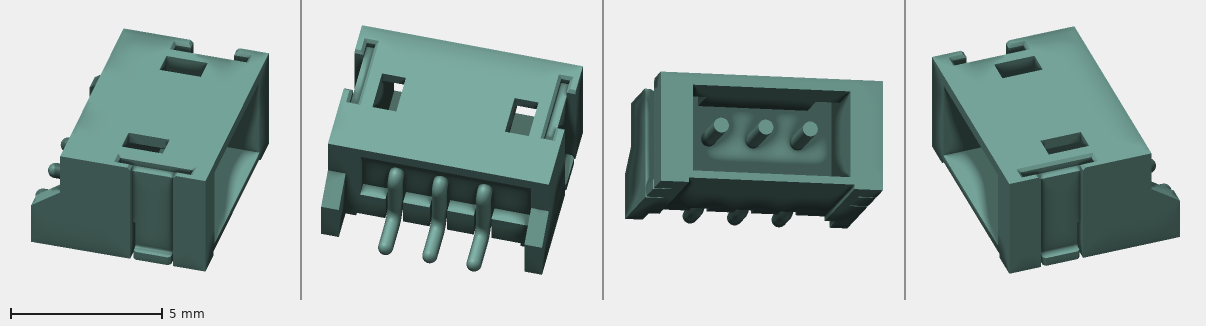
import cadquery as cq


total_length = 6.5
width = 7.5
height = 3.7
half_width = width / 2
body_rear = 1.5

leg_rear = 0.5
leg_width = 0.6
leg_low_height = 1.5
leg_high_height = 2.22

underside_half_width = 2.79
underside_clearance = 0.15

pin_diameter = 0.5
pin_radius = pin_diameter / 2
pin_pitch = 1.5
pin_positions = [-pin_pitch, 0.0, pin_pitch]
pin_riser_x = 1.65
pin_lower_bend = 0.5
pin_upper_bend = 0.255
pin_upper_z = 2.2
pin_end_x = 5.5

rear_depth = 0.45
rear_y_min = leg_width - half_width
rear_y_max = 2.655
rear_bottom = 1.2
rear_top = 3.3
pin_slot_width = 0.6

cavity_start = 3.3
cavity_half_width = 2.655
cavity_bottom = 0.4
cavity_top = rear_top

window_length = 1.42
window_inner_y = 1.845

slot_center_x = 4.65
slot_length = 2.505
slot_inner_y = 3.15
slot_outer_y = 3.45
slot_chamfer = 0.1
opening_length = 1.485

tab_top = 3.38
tab_shoulder_z = 1.29
tab_foot_length = 1.29
tab_foot_thickness = 0.315
tab_bend_radius = 0.09
tab_foot_chamfer = 0.09


def block(x_min, x_max, y_min, y_max, z_min, z_max):
    """Box given by its limits along each axis."""
    size = (x_max - x_min, y_max - y_min, z_max - z_min)
    return cq.Workplane("XY").box(*size, centered=False).translate((x_min, y_min, z_min))


def slot_block(length, y_min, y_max, z_min, z_max):
    """Box centred along X on the side slot."""
    half_length = length / 2
    return block(slot_center_x - half_length, slot_center_x + half_length, y_min, y_max, z_min, z_max)


def both_sides(shape):
    """The shape together with its mirror image across the XZ plane."""
    return shape.union(shape.mirror("XZ"))


def make_leg():
    outline = [
        (leg_rear, 0),
        (body_rear, 0),
        (body_rear, leg_high_height),
        (leg_rear, leg_low_height),
    ]
    leg = cq.Workplane("XZ").polyline(outline).close().extrude(leg_width)
    return leg.translate((0, half_width, 0))


def make_rear_recess():
    recess_front = body_rear + rear_depth
    recess = block(body_rear, recess_front, rear_y_min, rear_y_max, rear_bottom, rear_top)
    half_slot = pin_slot_width / 2
    for y in pin_positions:
        recess = recess.union(block(body_rear, recess_front, y - half_slot, y + half_slot, 0, rear_bottom))
    return recess


def make_window():
    return block(
        cavity_start, cavity_start + window_length, window_inner_y, cavity_half_width, cavity_top, height
    )


def make_slot_lead_in(length, y_min, y_max):
    """Tapered mouth that widens on all four sides up to the roof."""
    slot_width = y_max - y_min
    return (
        cq.Workplane("XY", origin=(slot_center_x, (y_min + y_max) / 2, height))
        .rect(length + 2 * slot_chamfer, slot_width + 2 * slot_chamfer)
        .workplane(offset=-slot_chamfer)
        .rect(length, slot_width)
        .loft(ruled=True)
    )


def make_tab_slot():
    """Pocket with shoulders for the tab and an opening out through the side wall."""
    pocket = slot_block(slot_length, slot_inner_y, slot_outer_y, tab_shoulder_z, height)
    opening = slot_block(opening_length, slot_inner_y, half_width, 0, height)
    pocket_mouth = make_slot_lead_in(slot_length, slot_inner_y, slot_outer_y)
    opening_mouth = make_slot_lead_in(opening_length, slot_inner_y, half_width)
    return pocket.union(opening).union(pocket_mouth).union(opening_mouth)


def make_tab():
    plate = slot_block(slot_length, slot_inner_y, slot_outer_y, tab_shoulder_z, tab_top)
    stem = slot_block(tab_foot_length, slot_inner_y, slot_outer_y, 0, tab_shoulder_z)
    foot = slot_block(tab_foot_length, slot_inner_y, half_width, 0, tab_foot_thickness)
    foot = foot.edges("|Z and >Y").chamfer(tab_foot_chamfer)
    lower_end = stem.union(foot)
    bend_edge = cq.selectors.NearestToPointSelector((slot_center_x, slot_outer_y, tab_foot_thickness))
    lower_end = lower_end.edges(bend_edge).fillet(tab_bend_radius)
    return plate.union(lower_end)


def make_pin(y):
    """Round pin with a ball tip, running forward, up and forward again."""
    tip_center = (pin_radius, y, pin_radius)
    path = (
        cq.Workplane("XZ", origin=(0, y, 0))
        .moveTo(pin_radius, pin_radius)
        .lineTo(pin_riser_x - pin_lower_bend, pin_radius)
        .tangentArcPoint((pin_lower_bend, pin_lower_bend))
        .lineTo(pin_riser_x, pin_upper_z - pin_upper_bend)
        .tangentArcPoint((pin_upper_bend, pin_upper_bend))
        .lineTo(pin_end_x, pin_upper_z)
    )
    wire = cq.Workplane("YZ", origin=tip_center).circle(pin_radius).sweep(path)
    tip = cq.Workplane("XY").sphere(pin_radius).translate(tip_center)
    return wire.union(tip)


housing = block(body_rear, total_length, -half_width, half_width, 0, height)
housing = housing.union(both_sides(make_leg()))
housing = housing.cut(
    block(body_rear, total_length, -underside_half_width, underside_half_width, 0, underside_clearance)
)
housing = housing.cut(make_rear_recess())
housing = housing.cut(
    block(cavity_start, total_length, -cavity_half_width, cavity_half_width, cavity_bottom, cavity_top)
)
housing = housing.cut(both_sides(make_window()))
housing = housing.cut(both_sides(make_tab_slot()))

result = housing.union(both_sides(make_tab()))
for pin_y in pin_positions:
    result = result.union(make_pin(pin_y))